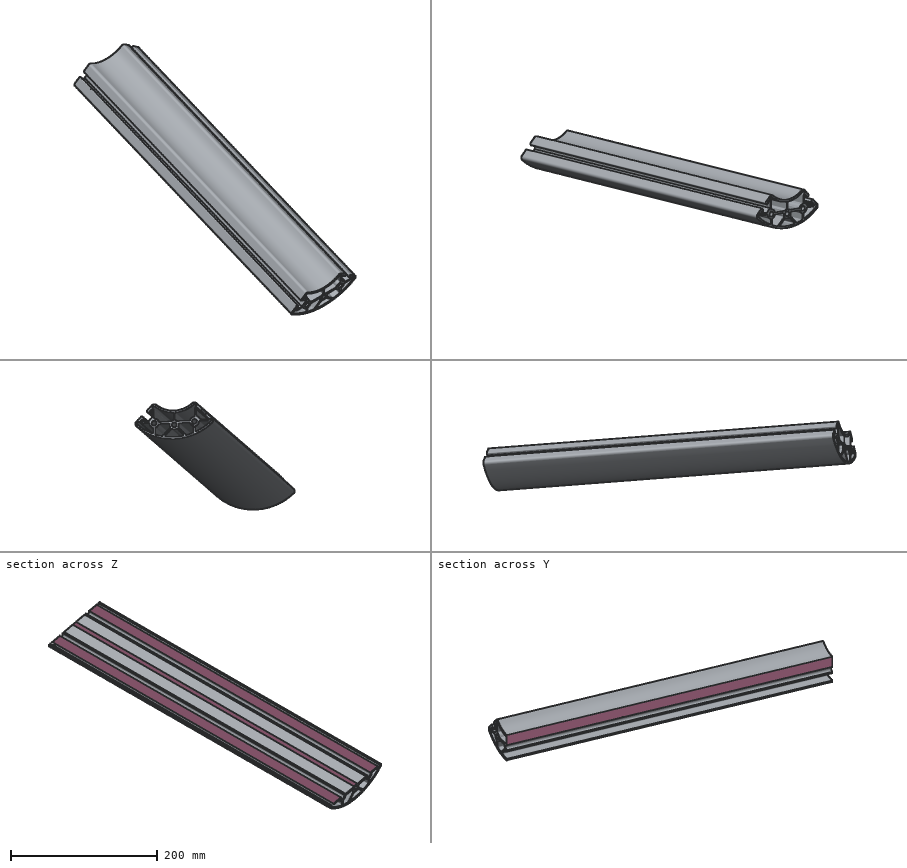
import cadquery as cq
import math

length = 500.0
outer_radius = 80.0
inner_radius = 40.0
arc_center_z = outer_radius
middle_radius = (outer_radius + inner_radius) / 2
corner_radius = 4.0
skin = 3.0
end_skin = 2.5

slot_opening_half = 4.5
slot_wide_half = 10.5
slot_floor_half = 4.5
slot_depth = 12.0
slot_wide_depth = slot_depth - (slot_wide_half - slot_floor_half)
slot_wall = 2.25
housing_depth = 17.0
lip_hook_depth = 4.5
lip_thin_depth = 3.75
lip_hook_width = 2.5

bore_radius = 3.4
boss_radius = 6.5
side_boss_depth = 20.0
web = 3.0
thin_web = 2.0
strut = 2.5
strut_reach = 16.5
pocket_fillet = 1.25
lip_fillet = 1.0

SIDES = (-1, 1)
DIAGONAL = math.sqrt(0.5)


def section_point(side, radial, depth):
    """(Y, Z) of a place given by its distance along an end face and its depth behind that face."""
    return (
        side * (radial - depth) * DIAGONAL,
        arc_center_z - (radial + depth) * DIAGONAL,
    )


def prism(points):
    return cq.Workplane("YZ").polyline(points).close().extrude(length)


def end_prism(side, points):
    return prism([section_point(side, radial, depth) for radial, depth in points])


def cylinder(center, radius):
    return cq.Workplane("YZ").center(*center).circle(radius).extrude(length)


def bar(start, end, width):
    """Straight web of the given width between two section points."""
    run = end[0] - start[0]
    rise = end[1] - start[1]
    span = math.hypot(run, rise)
    across_y = -rise / span * width / 2
    across_z = run / span * width / 2
    return prism([
        (start[0] + across_y, start[1] + across_z),
        (end[0] + across_y, end[1] + across_z),
        (end[0] - across_y, end[1] - across_z),
        (start[0] - across_y, start[1] - across_z),
    ])


def ring_sector(small_radius, large_radius, end_offset):
    """Ring sector between two radii, with both end faces moved inward by end_offset."""
    small_reach = math.sqrt(small_radius**2 - end_offset**2)
    large_reach = math.sqrt(large_radius**2 - end_offset**2)
    return (
        cq.Workplane("YZ")
        .moveTo(*section_point(-1, small_reach, end_offset))
        .threePointArc((0, arc_center_z - small_radius), section_point(1, small_reach, end_offset))
        .lineTo(*section_point(1, large_reach, end_offset))
        .threePointArc((0, arc_center_z - large_radius), section_point(-1, large_reach, end_offset))
        .close()
        .extrude(length)
    )


def slot_housing(side):
    """Solid that leaves the slot wall around the slot; its 45-degree flanks run on into the boss."""
    wide_half = slot_wide_half + slot_wall
    wide_depth = slot_wide_depth + slot_wall * math.tan(math.pi / 8)
    sunk_half = wide_half - (housing_depth - wide_depth)
    return end_prism(side, [
        (middle_radius - wide_half, 0),
        (middle_radius - wide_half, wide_depth),
        (middle_radius - sunk_half, housing_depth),
        (middle_radius + sunk_half, housing_depth),
        (middle_radius + wide_half, wide_depth),
        (middle_radius + wide_half, 0),
    ])


def slot_void(side):
    """T-slot whose lips thicken to a hook beside the opening."""
    half_outline = [
        (slot_opening_half, 0),
        (slot_opening_half, lip_hook_depth),
        (slot_opening_half + lip_hook_width, lip_hook_depth),
        (slot_opening_half + lip_hook_width + lip_hook_depth - lip_thin_depth, lip_thin_depth),
        (slot_wide_half, lip_thin_depth),
        (slot_wide_half, slot_wide_depth),
        (slot_floor_half, slot_depth),
    ]
    outline = [(middle_radius + offset, depth) for offset, depth in half_outline]
    outline += [(middle_radius - offset, depth) for offset, depth in reversed(half_outline)]
    return end_prism(side, outline)


center_bore = (0, arc_center_z - middle_radius)
side_bores = [section_point(side, middle_radius, side_boss_depth) for side in SIDES]
side_bore_y = side_bores[1][0]

outline = ring_sector(inner_radius, outer_radius, 0).edges("|X").fillet(corner_radius)
cavity = ring_sector(inner_radius + skin, outer_radius - skin, end_skin)

core = bar(side_bores[0], side_bores[1], web)
inner_top = arc_center_z - inner_radius - skin / 2
core = core.union(bar(center_bore, (0, inner_top), thin_web))
core = core.union(cylinder(center_bore, boss_radius))
for side, bore in zip(SIDES, side_bores):
    core = core.union(slot_housing(side))
    core = core.union(cylinder(bore, boss_radius))
    foot_z = arc_center_z - math.sqrt(outer_radius**2 - side_bore_y**2) + skin / 2
    core = core.union(bar(bore, (bore[0], foot_z), web))
    core = core.union(bar(center_bore, (side * strut_reach, center_bore[1] - strut_reach), strut))

pockets = cavity.cut(core).edges("|X").fillet(pocket_fillet)

result = outline.cut(pockets)
for side in SIDES:
    result = result.cut(slot_void(side))
    for direction in SIDES:
        for depth in (0, lip_hook_depth):
            corner = section_point(side, middle_radius + direction * slot_opening_half, depth)
            result = result.edges(cq.NearestToPointSelector((length / 2, *corner))).fillet(lip_fillet)
for bore in [center_bore, *side_bores]:
    result = result.cut(cylinder(bore, bore_radius))